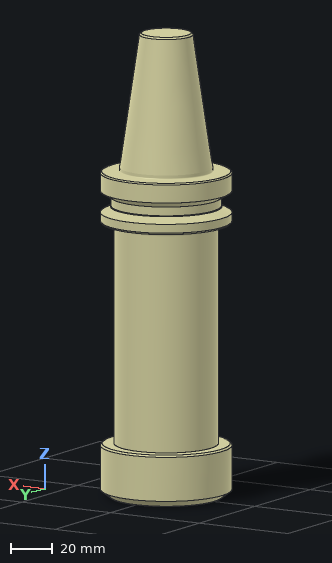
import cadquery as cq

total_height = 225.5
gauge_height = 160.0
flange_top = 158.0
flange_bottom = 133.0
collar_top = 25.7

rim_radius = 63.0 / 2
groove_radius = 53.0 / 2
body_radius = 50.0 / 2
nose_radius = 27.0

gauge_radius = 44.6 / 2
taper_ratio = 7 / 24
shank_chamfer = 1.0

groove_floor_bottom = 141.0
groove_floor_top = 145.5
groove_flank_height = 3.0

edge_chamfer = 1.0
flange_top_chamfer = 0.7
shank_root_fillet = 0.7
groove_fillet = 0.5
neck_fillet = 2.0
nose_chamfer_height = 3.4


def taper_radius(height):
    """Radius of the taper shank at a height above the nose."""
    return gauge_radius - (height - gauge_height) * taper_ratio / 2


def holder_profile():
    """Half section of the holder in the XZ plane, closed on the axis."""
    shank_edge = total_height - shank_chamfer
    top_radius = taper_radius(shank_edge) - shank_chamfer
    diagonal = 0.5 ** 0.5
    neck_center_radius = body_radius + neck_fillet
    neck_center_height = flange_bottom - neck_fillet
    neck_middle = (
        neck_center_radius - neck_fillet * diagonal,
        neck_center_height + neck_fillet * diagonal,
    )
    return (
        cq.Workplane("XZ")
        .moveTo(0, 0)
        .lineTo(nose_radius, 0)
        .lineTo(rim_radius, nose_chamfer_height)
        .lineTo(rim_radius, collar_top - edge_chamfer)
        .lineTo(rim_radius - edge_chamfer, collar_top)
        .lineTo(body_radius, collar_top)
        .lineTo(body_radius, neck_center_height)
        .threePointArc(neck_middle, (neck_center_radius, flange_bottom))
        .lineTo(rim_radius - edge_chamfer, flange_bottom)
        .lineTo(rim_radius, flange_bottom + edge_chamfer)
        .lineTo(rim_radius, groove_floor_bottom - groove_flank_height)
        .lineTo(groove_radius, groove_floor_bottom)
        .lineTo(groove_radius, groove_floor_top)
        .lineTo(rim_radius, groove_floor_top + groove_flank_height)
        .lineTo(rim_radius, flange_top - flange_top_chamfer)
        .lineTo(rim_radius - flange_top_chamfer, flange_top)
        .lineTo(gauge_radius, flange_top)
        .lineTo(gauge_radius, gauge_height)
        .lineTo(taper_radius(shank_edge), shank_edge)
        .lineTo(top_radius, total_height)
        .lineTo(0, total_height)
        .close()
    )


def fillet_ring(body, radius, height, fillet_radius):
    """Round the circular edge of the given radius at the given height."""
    tolerance = 0.02
    reach = radius + tolerance
    ring_box = cq.selectors.BoxSelector(
        (-reach, -reach, height - tolerance),
        (reach, reach, height + tolerance),
        boundingbox=True,
    )
    return body.edges(ring_box).fillet(fillet_radius)


holder = holder_profile().revolve(360, (0, 0, 0), (0, 1, 0))
holder = fillet_ring(holder, gauge_radius, flange_top, shank_root_fillet)
result = fillet_ring(holder, groove_radius, groove_floor_bottom, groove_fillet)